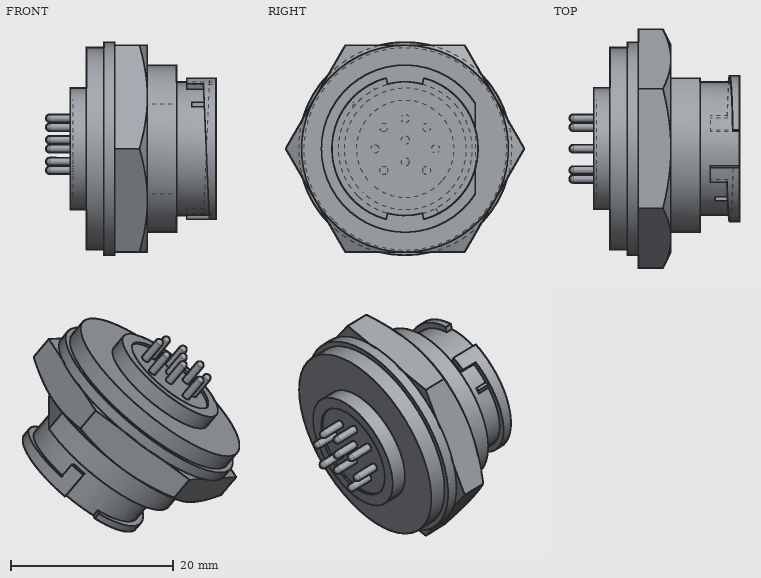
import cadquery as cq
import math

rear_boss_x = 3.0
flange_x = 5.0
washer_x = 7.15
nut_x = 8.5
thread_x = 12.5
barrel_x = 16.13
end_x = 21.0

rear_boss_radius = 7.5
flange_radius = 12.48
washer_diameter = 26.3
washer_radius = washer_diameter / 2
thread_radius = 10.3
thread_flat_y = 8.68
barrel_radius = 8.25

recess_radius = 6.0
recess_depth = 0.3

nut_corner_radius = 14.72
nut_apothem = nut_corner_radius * math.cos(math.radians(30))
nut_chamfer_length = 0.97

pin_radius = 0.5
pin_circle_radius = 3.75
pin_circle_step = 45
pin_circle_empty = 270
inner_pin_heights = (1.1, -1.6)

lug_count = 2
lug_radius = 9.0
lug_start_angle = 15
lug_end_angle = 180 - lug_start_angle
hook_end_angle = 27.3
hook_length = 3.65
rim_length_thick = 1.62
rim_length_thin = 0.82

mark_length = 3.03
mark_y = -6.42
mark_z = 5.75


def disc(x_start, x_end, radius):
    """Cylinder around the X axis."""
    return cq.Workplane("YZ", origin=(x_start, 0, 0)).circle(radius).extrude(x_end - x_start)


def sector(x_start, angle_start, angle_end):
    """Pie slice of the lug radius; angles run from +Z towards -Y."""
    return (
        cq.Workplane("XZ")
        .moveTo(x_start, 0)
        .lineTo(end_x, 0)
        .lineTo(end_x, lug_radius)
        .lineTo(x_start, lug_radius)
        .close()
        .revolve(angle_end - angle_start, (0, 0, 0), (1, 0, 0))
        .rotate((0, 0, 0), (1, 0, 0), angle_start)
    )


def make_body():
    thread = disc(thread_x, barrel_x, thread_radius)
    beyond_flat = cq.Workplane("XY").box(
        barrel_x - thread_x, thread_radius, 2 * thread_radius, centered=(False, False, True)
    )
    thread = thread.cut(beyond_flat.translate((thread_x, thread_flat_y, 0)))
    return (
        disc(rear_boss_x, flange_x, rear_boss_radius)
        .cut(disc(rear_boss_x, rear_boss_x + recess_depth, recess_radius))
        .union(disc(flange_x, washer_x, flange_radius))
        .union(disc(washer_x, nut_x, washer_radius))
        .union(thread)
        .union(disc(barrel_x, end_x, barrel_radius))
    )


def make_nut():
    hexagon = (
        cq.Workplane("YZ", origin=(nut_x, 0, 0))
        .polygon(6, 2 * nut_corner_radius)
        .extrude(thread_x - nut_x)
    )
    blank = disc(nut_x, thread_x, nut_corner_radius).faces(">X").chamfer(
        nut_chamfer_length, nut_corner_radius - nut_apothem
    )
    return hexagon.intersect(blank)


def make_pin(y, z):
    pin_end = rear_boss_x + recess_depth
    pin = cq.Workplane("YZ", origin=(pin_radius, y, z)).circle(pin_radius).extrude(pin_end - pin_radius)
    return pin.union(cq.Workplane("XY", origin=(pin_radius, y, z)).sphere(pin_radius))


def make_lug():
    hook = sector(end_x - hook_length, lug_start_angle, hook_end_angle)
    rim = sector(end_x - rim_length_thick, lug_start_angle, lug_end_angle)
    rim_envelope = (
        cq.Workplane("XZ")
        .moveTo(end_x, lug_radius)
        .lineTo(end_x - rim_length_thick, lug_radius)
        .lineTo(end_x - rim_length_thin, -lug_radius)
        .lineTo(end_x, -lug_radius)
        .close()
        .extrude(lug_radius, both=True)
    )
    return hook.union(rim.intersect(rim_envelope))


def make_mark():
    mark = cq.Workplane("XY").box(mark_length, -mark_y, mark_z, centered=False)
    return mark.translate((end_x - mark_length, mark_y, 0))


result = make_body().union(make_nut())

for i in range(lug_count):
    result = result.union(make_lug().rotate((0, 0, 0), (1, 0, 0), i * 360 / lug_count))
result = result.union(make_mark())

for angle in range(0, 360, pin_circle_step):
    if angle != pin_circle_empty:
        pin_y = pin_circle_radius * math.cos(math.radians(angle))
        pin_z = pin_circle_radius * math.sin(math.radians(angle))
        result = result.union(make_pin(pin_y, pin_z))
for height in inner_pin_heights:
    result = result.union(make_pin(0, height))